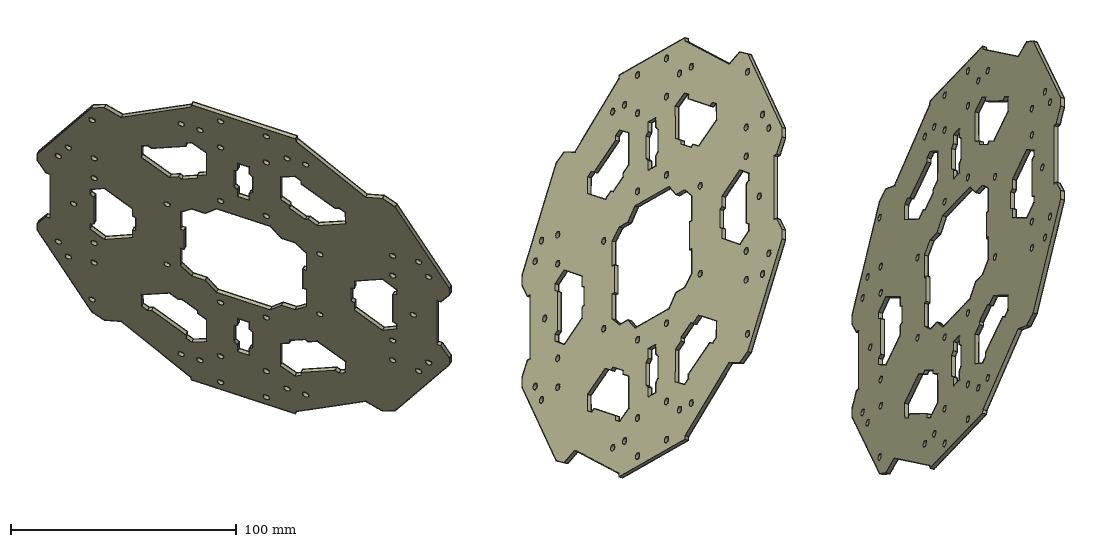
import cadquery as cq

plate_width = 198.0
plate_height = 195.0
thickness = 2.0
hole_diameter = 3.0

top_half_length = 25.0
top_corner_step = (0.3, 1.7)
valley = (58.7, 72.4)
ear_tip = (66.8, 75.4)
ear_shoulder = (72.9, 72.3)
ear_side_top = 27.0
ear_side_bottom = 22.4
ear_foot = (94.8, 15.5)
side_recess_x = 92.9

center_half_height = 29.6
center_top_half_length = 12.9
center_step = (18.3, 23.7)
center_step_end = 24.8
center_half_width = 30.2
center_side_top = 18.9
side_tooth_half_length = 6.8
side_tooth_depth = 1.7

window_count = 6
window_inner_radius = 51.7
window_inner_half = 4.4
window_shoulder_radius = 53.3
window_shoulder_half = 10.2
window_notch_half = 5.2
window_tip = (66.8, 18.1)
window_outer_radius = 71.7
window_outer_half = 9.5
window_lobe_radius = 73.6
window_lobe_half = 13.9
window_lobe_inner_half = 10.6

slot_center_z = 55.0
slot_half_length = 11.7
slot_half_width = 4.5
slot_end_half_width = 2.8
slot_neck_half_length = 7.0
slot_wide_half_length = 5.4

quarter_holes = [
    (11.0, 92.5),
    (11.0, 74.0),
    (11.0, 36.0),
    (20.9, 81.6),
    (29.9, 81.6),
    (36.7, 21.3),
    (71.7, 37.0),
    (71.7, 23.0),
    (84.1, 38.7),
    (88.9, 30.4),
]
side_hole_x = 81.6
left_hole = (-72.7, 63.6)


def mirror_quarter(points):
    """Close a quarter outline, running from +Z to +X, by mirroring it in X and Z."""
    right = points + [(x, -z) for x, z in reversed(points)]
    return right + [(-x, z) for x, z in reversed(right)]


def prism(points):
    """Extrude a closed XZ outline through the plate thickness, centred on Y."""
    return cq.Workplane("XZ").polyline(points).close().extrude(thickness / 2, both=True)


def plate_blank():
    half_width = plate_width / 2
    half_height = plate_height / 2
    step_x, step_z = top_corner_step
    return prism(mirror_quarter([
        (top_half_length, half_height),
        (top_half_length + step_x, half_height - step_z),
        valley,
        ear_tip,
        ear_shoulder,
        (half_width, ear_side_top),
        (half_width, ear_side_bottom),
        ear_foot,
        (side_recess_x, ear_foot[1]),
    ]))


def center_opening():
    tooth_x = center_half_width - side_tooth_depth
    return prism(mirror_quarter([
        (center_top_half_length, center_half_height),
        center_step,
        (center_step_end, center_step[1]),
        (center_half_width, center_side_top),
        (center_half_width, side_tooth_half_length),
        (tooth_x, side_tooth_half_length),
    ]))


def window():
    """Window on the +X axis, symmetric in Z."""
    upper = [
        (window_inner_radius, window_inner_half),
        (window_shoulder_radius, window_notch_half),
        (window_shoulder_radius, window_shoulder_half),
        window_tip,
        (window_lobe_radius, window_lobe_half),
        (window_lobe_radius, window_lobe_inner_half),
        (window_outer_radius, window_outer_half),
    ]
    return prism(upper + [(x, -z) for x, z in reversed(upper)])


def slot():
    """Slot with narrow ends, centred on the origin."""
    return prism(mirror_quarter([
        (slot_end_half_width, slot_half_length),
        (slot_end_half_width, slot_neck_half_length),
        (slot_half_width, slot_wide_half_length),
    ]))


def holes():
    centers = [(side_hole_x, 0), (-side_hole_x, 0)]
    for side in (1, -1):
        centers.append((left_hole[0], side * left_hole[1]))
        for x, z in quarter_holes:
            centers.append((x, side * z))
            centers.append((-x, side * z))
    sketch = cq.Workplane("XZ").pushPoints(centers).circle(hole_diameter / 2)
    return sketch.extrude(thickness / 2, both=True)


result = plate_blank().cut(center_opening())
for index in range(window_count):
    angle = index * 360 / window_count
    result = result.cut(window().rotate((0, 0, 0), (0, 1, 0), angle))
for side in (1, -1):
    result = result.cut(slot().translate((0, 0, side * slot_center_z)))
result = result.cut(holes())